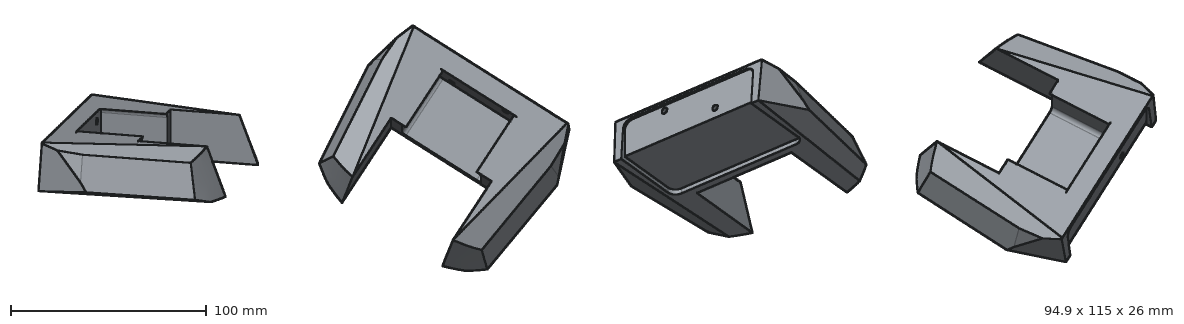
import cadquery as cq
import math

height = 26.0
half_width = 57.5
trim_size = 344.8

front_top_x = 2.1
front_corner_y = 46.5

draft_angle = 20.0
cone_center_x = -2.3
arm_tip_x = 94.9

front_flank_angle = 21.0
rear_flank_angle = 7.0
middle_flank_y = 59.5
lower_bevel_rear_x = 90.5
lower_bevel_rear_y = 42.2
lower_bevel_height = 4.6
upper_bevel_corner = (80.5, 45.0, 20.9)

slot_front_x = 48.5
slot_half_width = 30.5
pocket_front_x = 13.3
pocket_half_width = 24.0
pocket_floor_z = 4.1
pocket_fillet = 2.5

recess_half_width = 42.0
recess_top_z = 24.0
recess_back_x = 3.0
recess_corner_radius = 4.9
underside_depth = 3.1
underside_wall = 4.6

hole_diameter = 3.3
hole_centers = [(16.3, 20.8), (-16.3, 9.3)]


def vector_between(start, end):
    return cq.Vector(*end) - cq.Vector(*start)


def trim(body, point, outward):
    """Cut away everything beyond the plane through point."""
    plane = cq.Plane(origin=point, normal=outward)
    block = cq.Workplane(plane).rect(trim_size, trim_size).extrude(trim_size)
    return body.cut(block)


def trim_both_sides(body, point, outward):
    """Trim the +Y side and its mirror image on the -Y side."""
    for side in (1, -1):
        body = trim(
            body,
            (point[0], side * point[1], point[2]),
            (outward[0], side * outward[1], outward[2]),
        )
    return body


def drafted_normal(plan_angle):
    """Outward normal of a drafted +Y flank that turns inward by plan_angle."""
    plan = math.radians(plan_angle)
    return (math.sin(plan), math.cos(plan), math.tan(math.radians(draft_angle)))


def bevel_normal(start, end, third):
    """Outward normal of the +Y bevel through three points."""
    normal = vector_between(start, end).cross(vector_between(start, third))
    if normal.y < 0:
        normal = -normal
    return normal.toTuple()


def make_body():
    cone_base_radius = math.hypot(arm_tip_x - cone_center_x, slot_half_width)
    cone_top_radius = cone_base_radius - height * math.tan(math.radians(draft_angle))
    cone = cq.Solid.makeCone(
        cone_base_radius, cone_top_radius, height, pnt=cq.Vector(cone_center_x, 0, 0)
    )
    body = trim(cq.Workplane(cone), (0, 0, 0), (-height, 0, front_top_x))

    front_corner = (0, front_corner_y, 0)
    flank = math.radians(front_flank_angle)
    body = trim_both_sides(body, front_corner, (-math.sin(flank), math.cos(flank), 0))
    body = trim_both_sides(body, (0, middle_flank_y, 0), drafted_normal(0))
    widest_x = (half_width - front_corner_y) / math.tan(flank)
    widest = (widest_x, half_width, lower_bevel_height)
    body = trim_both_sides(body, widest, drafted_normal(rear_flank_angle))

    lower_rear = (lower_bevel_rear_x, lower_bevel_rear_y, 0)
    body = trim_both_sides(body, front_corner, bevel_normal(front_corner, lower_rear, widest))

    upper_tip_x = cone_center_x + math.sqrt(cone_top_radius**2 - slot_half_width**2)
    upper_front = (front_top_x, front_corner_y, height)
    upper_rear = (upper_tip_x, slot_half_width, height)
    normal = bevel_normal(upper_front, upper_rear, upper_bevel_corner)
    return trim_both_sides(body, upper_front, normal)


def block(x_range, half_y, z_range):
    return cq.Workplane("XY").box(
        x_range[1] - x_range[0], 2 * half_y, z_range[1] - z_range[0], centered=False
    ).translate((x_range[0], -half_y, z_range[0]))


def make_slot():
    return block((slot_front_x, trim_size), slot_half_width, (0, height))


def make_pocket():
    pocket = block((pocket_front_x, slot_front_x), pocket_half_width, (pocket_floor_z, height))
    return pocket.edges("|X").fillet(pocket_fillet)


def make_front_recess():
    recess = block((0, recess_back_x), recess_half_width, (0, recess_top_z))
    return recess.edges("|X and >Z").fillet(recess_corner_radius)


def make_underside_recess():
    recess = block((0, slot_front_x - underside_wall), recess_half_width, (0, underside_depth))
    return recess.edges("|Z and >X").fillet(recess_corner_radius)


def make_holes():
    return cq.Workplane("YZ").pushPoints(hole_centers).circle(hole_diameter / 2).extrude(pocket_front_x)


result = make_body()
for cutter in (make_slot(), make_pocket(), make_front_recess(), make_underside_recess(), make_holes()):
    result = result.cut(cutter)